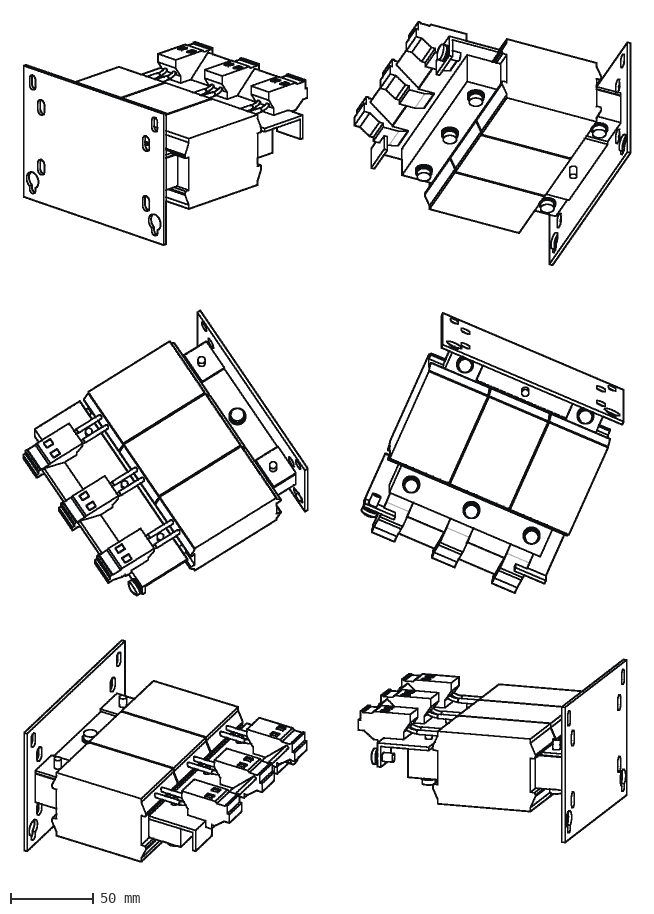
import cadquery as cq
import math


PLATE_WIDTH = 120.0
PLATE_HEIGHT = 85.0
PLATE_THICKNESS = 2.2
HANG_X = 52.3
HANG_SLOT_WIDTH = 4.9
HANG_SLOT_LENGTH = 9.3
HANG_SLOT_Z = 33.6
KEYHOLE_RADIUS = 5.0
KEYHOLE_Z = -29.7
KEYHOLE_BOTTOM_Z = -38.3
FOOT_SLOT_X = 45.0
FOOT_SLOT_WIDTH = 5.6
FOOT_SLOT_LENGTH = 9.7
FOOT_SLOT_Z = 19.4

CORE_WIDTH = 100.0
CORE_BOTTOM = -12.6
CORE_TOP = 8.0
CORE_END_Y = 104.0
CORE_MID_Z = (CORE_BOTTOM + CORE_TOP) / 2

COIL_PITCH = 39.9
COIL_WIDTH = 39.1
COIL_HALF_HEIGHT = 22.8
COIL_START_Y = 22.4
COIL_END_Y = 81.7
COIL_MID_Y = (COIL_START_Y + COIL_END_Y) / 2
FLARE_REACH = 3.3
FLARE_UNDERCUT = 0.5
FLARE_ROOT_HEIGHT = 20.2
FLARE_TIP_HEIGHT = 13.0
FLARE_TIP_FACE = 0.8
FLARE_BASE_HEIGHT = 10.7

SHEET = 2.2
BRACKET_TOP = CORE_TOP + SHEET
BRACKET_START_Y = 87.3
BRACKET_END_Y = 120.1
FLANGE_BOTTOM = -4.8
RAMP_START_Y = 116.3
RAMP_RUN = 14.9
RAMP_ANGLE = 42.5
FOOT_GAP = 0.4
FOOT_END_Y = 18.3
FOOT_INNER_X = 29.8

HEAD_RADIUS = 4.1
HEAD_HEIGHT = 3.3
WASHER_RADIUS = 5.0
WASHER_THICKNESS = 1.1
FOOT_BOLT_Y = 12.2
FOOT_STUD_RADIUS = 2.2
FOOT_STUD_REACH = 8.3
YOKE_BOLT_Y = 93.9
YOKE_STUD_RADIUS = 2.0
YOKE_STUD_REACH = 5.5
SPRING_WASHER_RADIUS = 4.9

SCREW_X = -55.1
SCREW_Z = 0.4
SCREW_RADIUS = 2.7
SCREW_TIP_Y = 111.5
SCREW_HEAD_RADIUS = 4.9
SCREW_NECK_RADIUS = 4.6
SCREW_WASHER_END_Y = 121.0
SCREW_NECK_END_Y = 121.6
SCREW_RIM_Y = 123.8
SCREW_CROWN_Y = 125.3

TERMINAL_WIDTH = 15.2
TERMINAL_TOP = 26.4
TERMINAL_BACK_Y = 136.6
TERMINAL_OUTLINE = [
    (TERMINAL_BACK_Y, 20.1),
    (TERMINAL_BACK_Y, 13.8),
    (133.0, 13.8),
    (126.5, 8.6),
    (124.1, 8.6),
    (124.1, 5.6),
    (114.0, 5.6),
    (107.5, 7.4),
    (107.5, 14.8),
    (103.3, 21.0),
    (103.3, TERMINAL_TOP),
    (126.7, TERMINAL_TOP),
    (127.8, 25.1),
    (133.4, 25.1),
    (133.9, 25.8),
    (135.1, 25.8),
    (135.1, 20.1),
]
SOCKET_WIDTH = 3.5
SOCKET_LENGTH = 4.8
SOCKET_DEPTH = 1.1
SOCKET_Y = 120.7
LEAD_SPACING = 7.5
LEAD_Z = 14.6
SLEEVE_RADIUS = 1.4
SLEEVE_START_Y = 82.7
SLEEVE_END_Y = 99.9
WIRE_RADIUS = 1.1
WIRE_END = (107.3, 17.1)

PHASES = (-COIL_PITCH, 0, COIL_PITCH)
SIDES = (-1, 1)


def box(x0, x1, y0, y1, z0, z1):
    return cq.Workplane("XY").box(x1 - x0, y1 - y0, z1 - z0, centered=False).translate((x0, y0, z0))


def disc(x, y, z0, z1, radius):
    """Upright cylinder between two heights."""
    low = min(z0, z1)
    return cq.Workplane("XY", origin=(x, y, low)).circle(radius).extrude(abs(z1 - z0))


def side_profile(points, x_mid, width):
    """Prism along X from a (y, z) outline."""
    return cq.Workplane("YZ").polyline(points).close().extrude(width / 2, both=True).translate((x_mid, 0, 0))


def upright_slot(x, z, length, width):
    """Cutter for a vertical slot through the mounting plate."""
    face = cq.Workplane("XZ").center(x, z).slot2D(length, width, 90)
    return face.extrude(PLATE_THICKNESS, both=True)


def mounting_plate():
    plate = box(-PLATE_WIDTH / 2, PLATE_WIDTH / 2, 0, PLATE_THICKNESS, -PLATE_HEIGHT / 2, PLATE_HEIGHT / 2)
    neck_length = KEYHOLE_Z - KEYHOLE_BOTTOM_Z
    neck_z = (KEYHOLE_Z + KEYHOLE_BOTTOM_Z) / 2
    for side in SIDES:
        hang_x = side * HANG_X
        plate = plate.cut(upright_slot(hang_x, HANG_SLOT_Z, HANG_SLOT_LENGTH, HANG_SLOT_WIDTH))
        keyhole = cq.Workplane("XZ").center(hang_x, KEYHOLE_Z).circle(KEYHOLE_RADIUS)
        plate = plate.cut(keyhole.extrude(PLATE_THICKNESS, both=True))
        plate = plate.cut(upright_slot(hang_x, neck_z, neck_length, HANG_SLOT_WIDTH))
        for level in SIDES:
            foot_x = side * FOOT_SLOT_X
            foot_z = level * FOOT_SLOT_Z
            plate = plate.cut(upright_slot(foot_x, foot_z, FOOT_SLOT_LENGTH, FOOT_SLOT_WIDTH))
    return plate


def core():
    return box(-CORE_WIDTH / 2, CORE_WIDTH / 2, PLATE_THICKNESS, CORE_END_Y, CORE_BOTTOM, CORE_TOP)


def coil(x_mid):
    """Winding with bobbin lips that flare out above and below the core at both ends."""
    half_length = (COIL_END_Y - COIL_START_Y) / 2
    tip = half_length + FLARE_REACH
    quarter = [
        (half_length, FLARE_BASE_HEIGHT),
        (tip - FLARE_UNDERCUT, FLARE_BASE_HEIGHT),
        (tip, FLARE_TIP_HEIGHT - FLARE_TIP_FACE),
        (tip, FLARE_TIP_HEIGHT),
        (half_length, FLARE_ROOT_HEIGHT),
        (half_length, COIL_HALF_HEIGHT),
    ]
    upper = quarter + [(-y, z) for y, z in reversed(quarter)]
    outline = upper + [(-y, -z) for y, z in upper]
    return side_profile(outline, x_mid, COIL_WIDTH).translate((0, COIL_MID_Y, CORE_MID_Z))


def bracket():
    """Sheet on the core's far yoke: ends bent down, middle bent up as a ramp."""
    half_width = PLATE_WIDTH / 2
    sheet_end_y = BRACKET_END_Y - SHEET
    body = box(-half_width, half_width, BRACKET_START_Y, sheet_end_y, CORE_TOP, BRACKET_TOP)
    for x0, x1 in ((-half_width, -COIL_PITCH), (COIL_PITCH, half_width)):
        body = body.union(box(x0, x1, sheet_end_y, BRACKET_END_Y, FLANGE_BOTTOM, BRACKET_TOP))

    angle = math.radians(RAMP_ANGLE)
    ramp_rise = RAMP_RUN * math.tan(angle)
    offset_y = SHEET * math.sin(angle)
    offset_z = SHEET * math.cos(angle)
    ramp_end_y = RAMP_START_Y + RAMP_RUN
    ramp_top = BRACKET_TOP + ramp_rise
    ramp = [
        (RAMP_START_Y, BRACKET_TOP),
        (ramp_end_y, ramp_top),
        (ramp_end_y + offset_y, ramp_top - offset_z),
        (RAMP_START_Y + offset_y, BRACKET_TOP - offset_z),
        (RAMP_START_Y, CORE_TOP),
    ]
    return body.union(side_profile(ramp, 0, 2 * COIL_PITCH))


def feet():
    """Two tabs just clear of the near yoke's top and one under its middle."""
    tabs = box(-FOOT_INNER_X, FOOT_INNER_X, PLATE_THICKNESS, FOOT_END_Y, CORE_BOTTOM - SHEET, CORE_BOTTOM)
    for x0, x1 in ((-CORE_WIDTH / 2, -FOOT_INNER_X), (FOOT_INNER_X, CORE_WIDTH / 2)):
        tabs = tabs.union(box(x0, x1, PLATE_THICKNESS, FOOT_END_Y, CORE_TOP + FOOT_GAP, BRACKET_TOP))
    return tabs


def bolt(x, y, head_up, stud_radius, stud_reach, washer_radii):
    """Bolt through the core; the stud reaches past the opposite core face."""
    direction = 1 if head_up else -1
    seat, far_face = (CORE_TOP, CORE_BOTTOM) if head_up else (CORE_BOTTOM, CORE_TOP)
    body = disc(x, y, seat, far_face - direction * stud_reach, stud_radius)
    for radius in washer_radii:
        washer_end = seat + direction * WASHER_THICKNESS
        body = body.union(disc(x, y, seat, washer_end, radius))
        seat = washer_end
    return body.union(disc(x, y, seat, seat + direction * HEAD_HEIGHT, HEAD_RADIUS))


def earth_screw():
    """Domed screw with washer through the bracket's flange, turned about the Y direction."""
    crown_height = SCREW_CROWN_Y - SCREW_RIM_Y
    dome_radius = (SCREW_HEAD_RADIUS**2 + crown_height**2) / (2 * crown_height)
    profile = (
        cq.Workplane("XY")
        .moveTo(0, SCREW_TIP_Y)
        .lineTo(SCREW_RADIUS, SCREW_TIP_Y)
        .lineTo(SCREW_RADIUS, BRACKET_END_Y)
        .lineTo(SCREW_HEAD_RADIUS, BRACKET_END_Y)
        .lineTo(SCREW_HEAD_RADIUS, SCREW_WASHER_END_Y)
        .lineTo(SCREW_NECK_RADIUS, SCREW_WASHER_END_Y)
        .lineTo(SCREW_NECK_RADIUS, SCREW_NECK_END_Y)
        .lineTo(SCREW_HEAD_RADIUS, SCREW_NECK_END_Y)
        .lineTo(SCREW_HEAD_RADIUS, SCREW_RIM_Y)
        .radiusArc((0, SCREW_CROWN_Y), -dome_radius)
        .close()
    )
    return profile.revolve(360, (0, 0, 0), (0, 1, 0)).translate((SCREW_X, 0, SCREW_Z))


def terminal(x_mid):
    """Terminal block with two shallow sockets in its top."""
    block = side_profile(TERMINAL_OUTLINE, x_mid, TERMINAL_WIDTH)
    for side in SIDES:
        socket = cq.Workplane("XY").box(SOCKET_WIDTH, SOCKET_LENGTH, 2 * SOCKET_DEPTH)
        block = block.cut(socket.translate((x_mid + side * LEAD_SPACING / 2, SOCKET_Y, TERMINAL_TOP)))
    return block


def lead(x):
    """Sleeve leaving the coil, then a thinner wire curving up into the terminal."""
    sleeve_length = SLEEVE_END_Y - SLEEVE_START_Y
    start = cq.Workplane("XZ", origin=(x, SLEEVE_START_Y, LEAD_Z))
    sleeve = start.circle(SLEEVE_RADIUS).extrude(-sleeve_length)
    path = (
        cq.Workplane("YZ", origin=(x, 0, 0))
        .moveTo(SLEEVE_START_Y, LEAD_Z)
        .lineTo(SLEEVE_END_Y, LEAD_Z)
        .tangentArcPoint(WIRE_END, relative=False)
    )
    wire = start.circle(WIRE_RADIUS).sweep(path)
    return sleeve.union(wire)


result = mounting_plate().union(core()).union(feet()).union(bracket()).union(earth_screw())

yoke_washers = (WASHER_RADIUS, SPRING_WASHER_RADIUS)
foot_washers = (WASHER_RADIUS,)
for phase_x in PHASES:
    yoke_bolt = bolt(phase_x, YOKE_BOLT_Y, False, YOKE_STUD_RADIUS, YOKE_STUD_REACH, yoke_washers)
    head_up = phase_x == 0
    foot_bolt = bolt(phase_x, FOOT_BOLT_Y, head_up, FOOT_STUD_RADIUS, FOOT_STUD_REACH, foot_washers)
    result = result.union(coil(phase_x)).union(terminal(phase_x)).union(yoke_bolt).union(foot_bolt)
    for side in SIDES:
        result = result.union(lead(phase_x + side * LEAD_SPACING / 2))